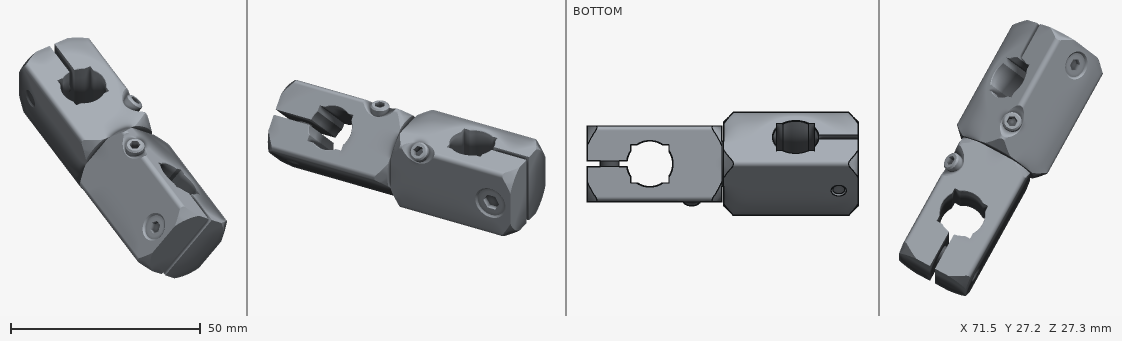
import cadquery as cq
import math


total_length = 71.5
joint_gap = 0.5
clamp_length = (total_length - joint_gap) / 2
block_width = 20.0
edge_radius = 1.3
end_face_radius = 11.1
end_chamfer_angle = 45.0
bore_tilt = 45.0

bore_diameter = 12.0
bore_chamfer = 0.15
bore_square = 10.0
bore_from_end = 16.5
slot_width = 1.5

screw_recess_depth = 0.5
screw_tip_chamfer = 0.4
hex_depth = 1.5
large_screw = {"shank": 5.0, "recess": 9.0, "hex": 4.0, "from_end": 5.9}
small_screw = {"shank": 4.0, "recess": 7.5, "hex": 3.0, "from_end": 5.15}

set_screw_diameter = 5.0
set_screw_chamfer = 0.4
set_screw_hex = 2.5
set_screw_hex_depth = 3.0
set_screw_top = 13.65
set_screw_from_joint = 7.95
scoop_radius = 6.0
scoop_floor = 11.4

cone_angle = 45.0

pin_diameter = 12.0
pin_depth = 11.45

inner_x = -joint_gap / 2
outer_x = inner_x - clamp_length
bore_x = outer_x + bore_from_end
set_screw_x = inner_x - set_screw_from_joint
half_width = block_width / 2
edge_direction = cq.Vector(0, 1, 1).normalized()


def hexagon(plane, across_flats, depth):
    """A hexagonal prism below the plane, with two corners on the plane's x direction."""
    across_corners = across_flats / math.cos(math.pi / 6)
    return cq.Workplane(plane).polygon(6, across_corners).extrude(-depth)


def cone_below(plane, top_diameter, depth):
    """A conical recess below the plane."""
    return cq.Workplane(plane).circle(top_diameter / 2).extrude(-depth, taper=cone_angle)


def clamp_block():
    """A square bar with rounded long edges and a conical chamfer on the corners of both ends."""
    bar = (
        cq.Workplane("YZ", origin=(outer_x, 0, 0))
        .rect(block_width, block_width)
        .extrude(clamp_length)
        .edges("|X")
        .fillet(edge_radius)
    )
    corner_radius = half_width * math.sqrt(2)
    chamfer_length = (corner_radius - end_face_radius) * math.tan(math.radians(end_chamfer_angle))
    envelope = (
        cq.Workplane("XY")
        .moveTo(outer_x, 0)
        .lineTo(outer_x, end_face_radius)
        .lineTo(outer_x + chamfer_length, corner_radius)
        .lineTo(inner_x - chamfer_length, corner_radius)
        .lineTo(inner_x, end_face_radius)
        .lineTo(inner_x, 0)
        .close()
        .revolve(360, (0, 0, 0), (1, 0, 0))
    )
    return bar.intersect(envelope)


def clamping_bore():
    """The bore along Z with a chamfer at both rims."""
    base = cq.Workplane("XY", origin=(bore_x, 0, -half_width))
    bore = base.circle(bore_diameter / 2).extrude(block_width)
    bore = bore.union(base.rect(bore_square, bore_square).extrude(block_width))
    for side in (-1, 1):
        face = cq.Plane(origin=(bore_x, 0, side * half_width), xDir=(1, 0, 0), normal=(0, 0, side))
        bore = bore.union(cone_below(face, bore_diameter + 2 * bore_chamfer, bore_chamfer))
    return bore


def clamping_slot():
    """The slot that opens the bore through the outer end."""
    slot_middle_x = (outer_x + bore_x) / 2
    return cq.Workplane("XY", origin=(slot_middle_x, 0, 0)).box(bore_from_end, slot_width, block_width)


def add_clamp_screw(clamp, screw):
    """A screw across the slot, fused to the clamp, its sunk head on +Y and its sunk tip on -Y."""
    screw_x = outer_x + screw["from_end"]
    head_face = cq.Plane(origin=(screw_x, half_width, 0), xDir=(1, 0, 0), normal=(0, 1, 0))
    tip_face = cq.Plane(origin=(screw_x, -half_width, 0), xDir=(1, 0, 0), normal=(0, -1, 0))
    head_top = cq.Plane(
        origin=(screw_x, half_width - screw_recess_depth, 0), xDir=(1, 0, 0), normal=(0, 1, 0)
    )
    shank = (
        cq.Workplane("XZ", origin=(screw_x, 0, 0))
        .circle(screw["shank"] / 2)
        .extrude(slot_width, both=True)
    )
    return (
        clamp.union(shank)
        .cut(cone_below(head_face, screw["recess"], screw_recess_depth))
        .cut(hexagon(head_top, screw["hex"], hex_depth))
        .cut(cone_below(tip_face, screw["shank"], screw_tip_chamfer))
    )


def add_set_screw(clamp):
    """A scoop across the long edge with a socket set screw standing in it."""
    scoop_axis = edge_direction * (scoop_floor + scoop_radius)
    scoop_plane = cq.Plane(
        origin=(set_screw_x, scoop_axis.y, scoop_axis.z), xDir=(1, 0, 0), normal=(0, 1, -1)
    )
    scoop = cq.Workplane(scoop_plane).circle(scoop_radius).extrude(half_width, both=True)

    top = edge_direction * set_screw_top
    top_plane = cq.Plane(
        origin=(set_screw_x, top.y, top.z), xDir=(1, 0, 0), normal=edge_direction.toTuple()
    )
    height = set_screw_top - pin_diameter / 2
    screw = (
        cq.Workplane(top_plane)
        .circle(set_screw_diameter / 2)
        .extrude(-height)
        .faces(cq.selectors.DirectionMinMaxSelector(edge_direction, True))
        .chamfer(set_screw_chamfer)
    )
    socket = hexagon(top_plane, set_screw_hex, set_screw_hex_depth)
    return clamp.cut(scoop).union(screw).cut(socket)


def pivot_pin():
    """A plain pin that reaches equally far into both clamps."""
    return cq.Workplane("YZ").circle(pin_diameter / 2).extrude(joint_gap / 2 + pin_depth, both=True)


def make_clamp(screw):
    """One clamp on the -X side, with its screws as part of the same solid."""
    clamp = clamp_block().cut(clamping_bore()).cut(clamping_slot())
    clamp = add_clamp_screw(clamp, screw)
    clamp = add_set_screw(clamp)
    return clamp.cut(pivot_pin())


half_tilt = math.radians(bore_tilt) / 2
turn_axis = (0, math.sin(half_tilt), math.cos(half_tilt))

straight_clamp = make_clamp(large_screw)
tilted_clamp = make_clamp(small_screw).rotate((0, 0, 0), turn_axis, 180)
pin = pivot_pin()

result = cq.Compound.makeCompound([straight_clamp.val(), tilted_clamp.val(), pin.val()])